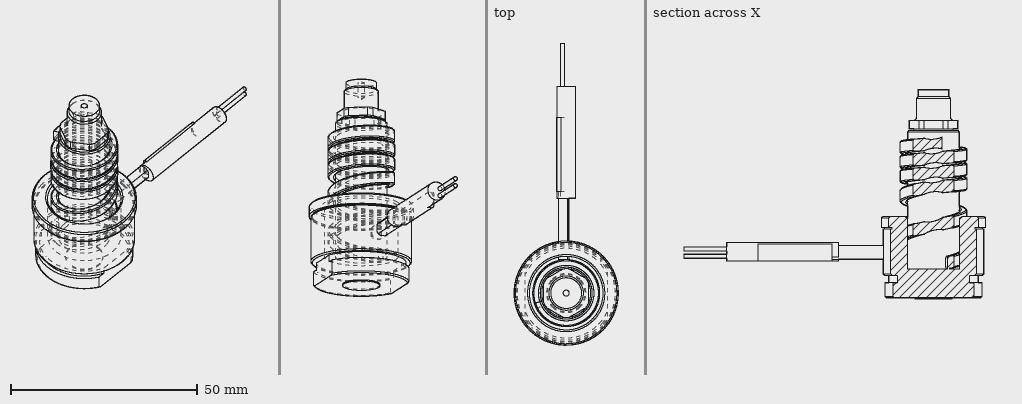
import cadquery as cq
import math

FOOT_PAD_HEIGHT = 0.3
FOOT_TOP = 4.45
HOUSING_BOTTOM = 6.3
CAVITY_FLOOR = 8.1
HOUSING_TOP = 22.2
FLANGE_HEIGHT = 3.0
CORE_TOP = 45.3
NUT_BOTTOM = 45.7
NUT_TOP = 47.95
FLARE_HEIGHT = 0.8
TIP_BOTTOM = 53.8
TIP_CONE_HEIGHT = 0.6
OVERALL_HEIGHT = 56.2

FOOT_PAD_RADIUS = 5.0
FOOT_RADIUS = 13.05
FOOT_NECK_RADIUS = 12.1
HOUSING_RADIUS = 13.5
FLANGE_RADIUS = 14.0
CAVITY_RADIUS = 9.9
CORE_RADIUS = 7.0
NUT_NECK_RADIUS = 5.3
STEM_RADIUS = 4.6
TIP_RADIUS = 4.1

EDGE_CHAMFER = 0.4
MOUTH_CHAMFER = 0.5
RIM_GROOVE = 0.3

FOOT_FLAT_WIDTH = 22.2
NUT_FLAT_WIDTH = 12.1
NUT_CORNER_RADIUS = 6.6
TIP_BORE_RADIUS = 0.8
TIP_BORE_DEPTH = 4.05
TIP_BORE_POINT = 0.5

STRIP_OUTER_RADIUS = 9.0
STRIP_EMBED = 0.4
STRIP_HEIGHT = 3.4
STRIP_CHAMFER = 0.3
STRIP_INNER_CHAMFER = 0.9
STRIP_TOP = 43.6
STRIP_END_ANGLE = 198.0
CLOSE_PITCH = 3.9
CLOSE_TURNS = 3.1
OPEN_PITCH = 10.7

OVERALL_LENGTH = 81.0
WIRE_END = OVERALL_LENGTH - FLANGE_RADIUS
CABLE_X = -0.9
CABLE_Z = 12.55
CABLE_WIDTH = 2.4
CABLE_HEIGHT = 3.7
CABLE_CORNER = 0.65
CABLE_RIB_REACH = 1.6
CABLE_RIB_HEIGHT = 2.75
CABLE_RIB_CORNER = 0.6
CABLE_START = 9.1
SLEEVE_RADIUS = 2.5
SLEEVE_Z = 12.7
SLEEVE_START = 25.4
SLEEVE_END = 55.5
PAD_START = 27.2
PAD_END = 47.1
PAD_FACE_X = -2.6
PAD_HEIGHT = 4.5
PAD_CORNER = 0.9
WIRE_X = -1.0
WIRE_MIDDLE_Z = 12.5
WIRE_RADIUS = 0.6
WIRE_SPACING = 1.95


def disc(radius, bottom, top):
    return cq.Workplane("XY").workplane(offset=bottom).circle(radius).extrude(top - bottom)


def section_at(y, x, z):
    """Workplane across the cable run, with local X along X and local Y along Z."""
    return cq.Workplane(cq.Plane(origin=(x, y, z), xDir=(1, 0, 0), normal=(0, -1, 0)))


def foot():
    base = disc(FOOT_RADIUS, FOOT_PAD_HEIGHT, FOOT_TOP).faces("<Z").chamfer(EDGE_CHAMFER)
    neck = disc(FOOT_NECK_RADIUS, FOOT_TOP, HOUSING_BOTTOM)
    flats = cq.Workplane("XY").box(
        FOOT_FLAT_WIDTH, 2 * FOOT_RADIUS, HOUSING_BOTTOM, centered=(True, True, False)
    )
    return base.union(neck).intersect(flats).union(disc(FOOT_PAD_RADIUS, 0, FOOT_PAD_HEIGHT))


def housing():
    flange_bottom = HOUSING_TOP - FLANGE_HEIGHT
    outline = [
        (0, HOUSING_BOTTOM),
        (HOUSING_RADIUS - EDGE_CHAMFER, HOUSING_BOTTOM),
        (HOUSING_RADIUS, HOUSING_BOTTOM + EDGE_CHAMFER),
        (HOUSING_RADIUS, flange_bottom - RIM_GROOVE),
        (HOUSING_RADIUS - RIM_GROOVE, flange_bottom - RIM_GROOVE),
        (HOUSING_RADIUS - RIM_GROOVE, flange_bottom),
        (FLANGE_RADIUS, flange_bottom),
        (FLANGE_RADIUS, HOUSING_TOP - EDGE_CHAMFER),
        (FLANGE_RADIUS - EDGE_CHAMFER, HOUSING_TOP),
        (CAVITY_RADIUS + MOUTH_CHAMFER, HOUSING_TOP),
        (CAVITY_RADIUS, HOUSING_TOP - MOUTH_CHAMFER),
        (CAVITY_RADIUS, CAVITY_FLOOR),
        (0, CAVITY_FLOOR),
    ]
    return cq.Workplane("XZ").polyline(outline).close().revolve(360, (0, 0), (0, 1))


def core():
    column = disc(CORE_RADIUS, CAVITY_FLOOR, CORE_TOP).faces(">Z").chamfer(EDGE_CHAMFER)
    return column.union(disc(NUT_NECK_RADIUS, CORE_TOP, NUT_BOTTOM))


def nut():
    """Hexagon with flats facing +X and -X and its corners turned round."""
    corner_diameter = NUT_FLAT_WIDTH / math.cos(math.pi / 6)
    hexagon = (
        cq.Workplane("XY")
        .workplane(offset=NUT_BOTTOM)
        .transformed(rotate=(0, 0, 30))
        .polygon(6, corner_diameter)
        .extrude(NUT_TOP - NUT_BOTTOM)
    )
    return hexagon.intersect(disc(NUT_CORNER_RADIUS, NUT_BOTTOM, NUT_TOP))


def stem():
    """Stem with a concave flare at its root, a stepped-in tip and a blind, cone-bottomed bore."""
    arc_offset = FLARE_HEIGHT * (1 - math.sqrt(0.5))
    profile = (
        cq.Workplane("XZ")
        .moveTo(0, NUT_TOP)
        .lineTo(STEM_RADIUS + FLARE_HEIGHT, NUT_TOP)
        .threePointArc(
            (STEM_RADIUS + arc_offset, NUT_TOP + arc_offset),
            (STEM_RADIUS, NUT_TOP + FLARE_HEIGHT),
        )
        .lineTo(STEM_RADIUS, TIP_BOTTOM)
        .lineTo(TIP_RADIUS, TIP_BOTTOM + TIP_CONE_HEIGHT)
        .lineTo(TIP_RADIUS, OVERALL_HEIGHT)
        .lineTo(0, OVERALL_HEIGHT)
        .close()
    )
    bore_floor = OVERALL_HEIGHT - TIP_BORE_DEPTH
    bore_profile = cq.Workplane("XZ").polyline(
        [
            (0, bore_floor - TIP_BORE_POINT),
            (TIP_BORE_RADIUS, bore_floor),
            (TIP_BORE_RADIUS, OVERALL_HEIGHT),
            (0, OVERALL_HEIGHT),
        ]
    )
    bore = bore_profile.close().revolve(360, (0, 0), (0, 1))
    return profile.revolve(360, (0, 0), (0, 1)).cut(bore)


def strip_run(bottom, pitch, turns, start_angle):
    """Helical run of the strip, rising counter-clockwise from start_angle."""
    inner_radius = CORE_RADIUS - STRIP_EMBED
    chamfer_radius = STRIP_OUTER_RADIUS - STRIP_CHAMFER
    outline = [
        (inner_radius, STRIP_INNER_CHAMFER),
        (inner_radius + STRIP_INNER_CHAMFER, 0),
        (chamfer_radius, 0),
        (STRIP_OUTER_RADIUS, STRIP_CHAMFER),
        (STRIP_OUTER_RADIUS, STRIP_HEIGHT - STRIP_CHAMFER),
        (chamfer_radius, STRIP_HEIGHT),
        (inner_radius + STRIP_INNER_CHAMFER, STRIP_HEIGHT),
        (inner_radius, STRIP_HEIGHT - STRIP_INNER_CHAMFER),
    ]
    path = cq.Workplane(cq.Wire.makeHelix(pitch, pitch * turns, CORE_RADIUS))
    run = cq.Workplane("XZ").polyline(outline).close().sweep(path, isFrenet=True)
    return run.rotate((0, 0, 0), (0, 0, 1), start_angle).translate((0, 0, bottom))


def strip():
    """The open run starts on the cavity floor and continues into the close run."""
    close_bottom = STRIP_TOP - STRIP_HEIGHT - CLOSE_PITCH * CLOSE_TURNS
    open_turns = (close_bottom - CAVITY_FLOOR) / OPEN_PITCH
    joint_angle = STRIP_END_ANGLE - 360 * CLOSE_TURNS
    close_run = strip_run(close_bottom, CLOSE_PITCH, CLOSE_TURNS, joint_angle)
    open_run = strip_run(CAVITY_FLOOR, OPEN_PITCH, open_turns, joint_angle - 360 * open_turns)
    return [open_run, close_run]


def cable():
    """Flat cable with a lower rounded rib on its +X side, ending inside the sleeve."""
    length = PAD_END - CABLE_START
    body = (
        section_at(CABLE_START, CABLE_X, CABLE_Z)
        .rect(CABLE_WIDTH, CABLE_HEIGHT)
        .extrude(-length)
        .edges("|Y")
        .fillet(CABLE_CORNER)
    )
    rib = (
        section_at(CABLE_START, CABLE_X + CABLE_RIB_REACH / 2, CABLE_Z)
        .rect(CABLE_RIB_REACH, CABLE_RIB_HEIGHT)
        .extrude(-length)
        .edges("|Y and >X")
        .fillet(CABLE_RIB_CORNER)
    )
    return body.union(rib)


def sleeve():
    """Round sleeve with a flat, round-cornered pad on its -X side."""
    tube_plane = section_at(SLEEVE_START, 0, SLEEVE_Z)
    tube = tube_plane.circle(SLEEVE_RADIUS).extrude(SLEEVE_START - SLEEVE_END)
    pad = (
        section_at(PAD_START, PAD_FACE_X / 2, CABLE_Z)
        .rect(-PAD_FACE_X, PAD_HEIGHT)
        .extrude(PAD_START - PAD_END)
        .edges("|Y and <X")
        .fillet(PAD_CORNER)
    )
    return tube.union(pad)


def wires():
    return (
        section_at(PAD_END, WIRE_X, WIRE_MIDDLE_Z)
        .pushPoints([(0, -WIRE_SPACING / 2), (0, WIRE_SPACING / 2)])
        .circle(WIRE_RADIUS)
        .extrude(PAD_END - WIRE_END)
    )


result = foot()
for piece in [housing(), core(), nut(), stem(), *strip(), cable(), sleeve(), wires()]:
    result = result.union(piece)